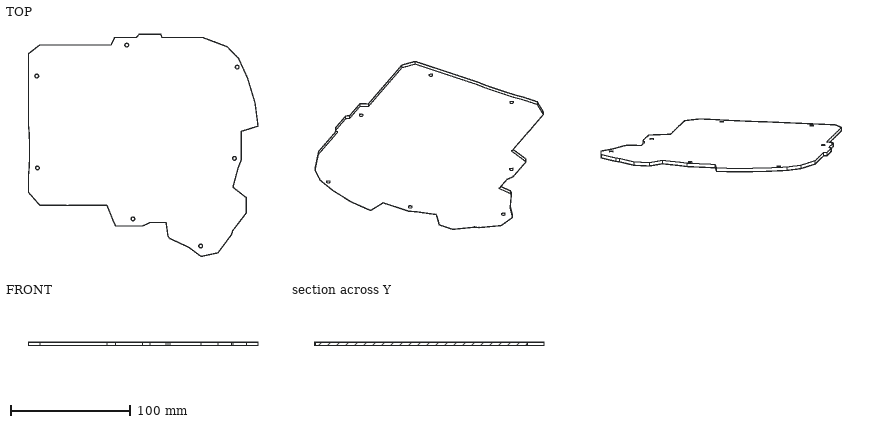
import cadquery as cq

LENGTH_X = 192.69
WIDTH_Y = 186.47
THICKNESS = 3.0
SCREW_HOLE_DIAMETER = 3.0

TAB_TOP_Y = WIDTH_Y
UPPER_EDGE_Y = 183.8
LEFT_BLOCK_TOP_Y = 177.5
LEFT_BLOCK_BOTTOM_Y = 43.0
FOOT_BOTTOM_Y = 25.6
FOOT_STEP_Y = 28.4
RIGHT_EDGE_X = 178.5
LOBE_RIGHT_X = 182.7
CORNER_CUT_X = 9.6

SWELL_HEIGHT = 0.2

RELIEF_DEPTH = 0.8
RELIEF_MID_DEPTH = 0.55
RELIEF_CENTER_Y = 89.1
RELIEF_HALF_LENGTH = 21.1
RELIEF_MID_HALF_LENGTH = 16.1
RELIEF_FLOOR_HALF_LENGTH = 9.7

left_edge = [
    (CORNER_CUT_X, LEFT_BLOCK_BOTTOM_Y),
    (0, 54.0),
    (0, RELIEF_CENTER_Y - RELIEF_HALF_LENGTH),
    (RELIEF_MID_DEPTH, RELIEF_CENTER_Y - RELIEF_MID_HALF_LENGTH),
    (RELIEF_DEPTH, RELIEF_CENTER_Y - RELIEF_FLOOR_HALF_LENGTH),
    (RELIEF_DEPTH, RELIEF_CENTER_Y + RELIEF_FLOOR_HALF_LENGTH),
    (RELIEF_MID_DEPTH, RELIEF_CENTER_Y + RELIEF_MID_HALF_LENGTH),
    (0, RELIEF_CENTER_Y + RELIEF_HALF_LENGTH),
    (0, 170.0),
    (CORNER_CUT_X, LEFT_BLOCK_TOP_Y),
]

top_edge = [
    (69.4, LEFT_BLOCK_TOP_Y),
    (72.3, UPPER_EDGE_Y),
    (90.6, UPPER_EDGE_Y),
    (92.9, TAB_TOP_Y),
    (111.2, TAB_TOP_Y),
    (112.0, UPPER_EDGE_Y),
    (146.1, UPPER_EDGE_Y),
]

right_side = [
    (166.7, 176.0),
    (176.4, 166.0),
    (183.9, 149.5),
    (190.1, 129.1),
    (LENGTH_X, 109.3),
    (RIGHT_EDGE_X, 104.9),
    (RIGHT_EDGE_X, 80.8),
    (176.0, 74.5),
    (171.6, 58.2),
    (LOBE_RIGHT_X, 49.5),
    (LOBE_RIGHT_X, 36.5),
    (171.4, 21.7),
    (170.3, 18.3),
]

bottom_edge = [
    (159.0, 3.1),
    (148.8, 0.9),
    (144.9, 0),
    (134.7, 7.6),
    (118.6, 15.1),
    (117.0, 17.0),
    (115.4, FOOT_STEP_Y),
    (101.8, FOOT_STEP_Y),
    (95.9, FOOT_BOTTOM_Y),
    (73.2, FOOT_BOTTOM_Y),
    (71.45, 29.0),
    (65.9, LEFT_BLOCK_BOTTOM_Y),
    (36.0, LEFT_BLOCK_BOTTOM_Y),
    (33.2, LEFT_BLOCK_BOTTOM_Y - SWELL_HEIGHT),
    (28.5, LEFT_BLOCK_BOTTOM_Y),
]

screw_hole_centers = [
    (7.1, 151.3),
    (82.5, 177.25),
    (175.1, 158.8),
    (172.8, 82.3),
    (7.7, 74.3),
    (87.7, 31.6),
    (144.5, 8.9),
]


def make_plate():
    outline = left_edge + top_edge + right_side + bottom_edge
    return cq.Workplane("XY").polyline(outline).close().extrude(THICKNESS)


def drill_screw_holes(plate):
    top_plane = plate.faces(">Z").workplane(origin=(0, 0, 0))
    return top_plane.pushPoints(screw_hole_centers).hole(SCREW_HOLE_DIAMETER)


result = drill_screw_holes(make_plate())